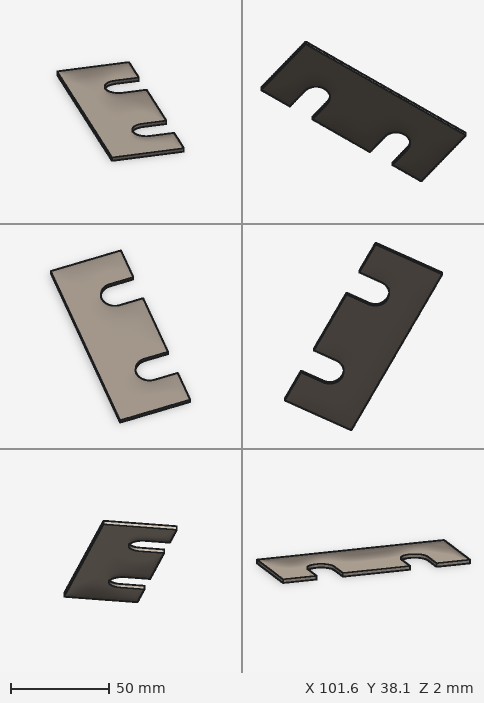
import cadquery as cq

plate_length = 101.6
plate_width = 38.1
plate_thickness = 2.0
slot_width = 14.2875
slot_spacing = plate_length / 2
slot_center_depth = 12.7

slot_radius = slot_width / 2
rear_edge_y = plate_width / 2
slot_center_y = rear_edge_y - slot_center_depth


def make_plate():
    """Flat rectangular plate centred on the origin in X and Y, resting on Z = 0."""
    return cq.Workplane("XY").box(
        plate_length, plate_width, plate_thickness, centered=(True, True, False)
    )


def make_slot(center_x):
    """Round-ended slot cutter, open at the rear (+Y) edge."""
    left_x = center_x - slot_radius
    right_x = center_x + slot_radius
    return (
        cq.Workplane("XY")
        .moveTo(left_x, rear_edge_y)
        .lineTo(left_x, slot_center_y)
        .threePointArc((center_x, slot_center_y - slot_radius), (right_x, slot_center_y))
        .lineTo(right_x, rear_edge_y)
        .close()
        .extrude(plate_thickness)
    )


result = make_plate()
for side in (-1, 1):
    result = result.cut(make_slot(side * slot_spacing / 2))